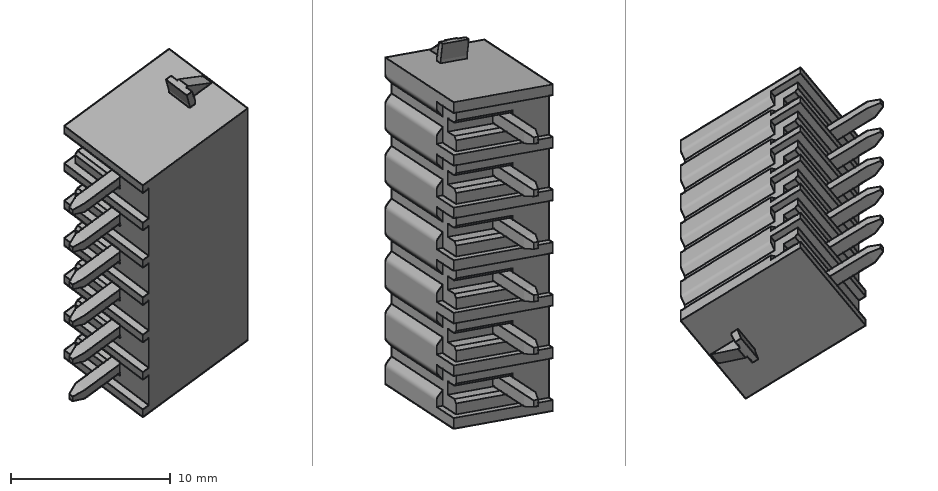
import cadquery as cq


way_count = 6
pitch = 3.5
overall_length = 24.5
overall_depth = 12.6
body_width = 7.0
body_depth = 9.2
latch_height = 1.37
body_length = overall_length - 2 * latch_height
way_centres = [(i - (way_count - 1) / 2) * pitch for i in range(way_count)]

recess_length = 2.8
recess_depth = 0.51
floor_y = -(body_depth - recess_depth)

groove_depth = 0.45
groove_floor_width = 0.69
groove_mouth_width = 1.67
groove_edge_radius = 0.45
notch_start = 6.9

pin_size = 0.8
pin_x_min = 3.63
pin_x_centre = pin_x_min + pin_size / 2
pin_tip_length = 0.8
pin_tip_width = 0.32
pin_tip_height = 0.45

slot_width = 0.88
slot_depth = 1.1
slot_length = pin_x_min + pin_size
slot_chamfer = 0.22

latch_width = 1.85
ramp_width = pin_size
ramp_start = 0.1
ramp_end = 2.2
ramp_drop = 0.02
plate_foot_back = 2.05
plate_foot_front = 2.57
plate_foot_height = 0.22
plate_top_back = 2.35
plate_top_crest = 2.5
plate_top_front = 2.82


def make_body():
    """Plain block with a rounded trapezoidal groove per way along one side."""
    body = cq.Workplane("XY").box(body_width, body_depth, body_length, centered=(False, False, True))
    body = body.translate((0, -body_depth, 0))
    half_mouth = groove_mouth_width / 2
    half_floor = groove_floor_width / 2
    for z in way_centres:
        groove = (
            cq.Workplane("XZ")
            .polyline([
                (0, z - half_mouth),
                (groove_depth, z - half_floor),
                (groove_depth, z + half_floor),
                (0, z + half_mouth),
            ])
            .close()
            .extrude(body_depth)
        )
        body = body.cut(groove)
    groove_lips = body.edges("|Y").edges("<X").edges("not(<Z or >Z)")
    return groove_lips.fillet(groove_edge_radius)


def make_way_cut(z):
    """Front recess, side notch and chamfered pin slot of one way."""
    recess = cq.Workplane("XY").box(body_width, recess_depth, recess_length, centered=(False, False, True))
    recess = recess.translate((0, -body_depth, z))

    notch_depth = body_depth - notch_start
    notch = cq.Workplane("XY").box(groove_depth, notch_depth, recess_length, centered=(False, False, True))
    notch = notch.translate((0, -body_depth, z))

    half_slot = slot_width / 2
    half_mouth = half_slot + slot_chamfer
    slot_floor_y = floor_y + slot_depth
    slot = (
        cq.Workplane("YZ")
        .polyline([
            (floor_y, z - half_mouth),
            (floor_y + slot_chamfer, z - half_slot),
            (slot_floor_y, z - half_slot),
            (slot_floor_y, z + half_slot),
            (floor_y + slot_chamfer, z + half_slot),
            (floor_y, z + half_mouth),
        ])
        .close()
        .extrude(slot_length)
    )
    return recess.union(notch).union(slot)


def make_pin(z):
    """Square pin from the slot floor to its tapered tip."""
    shank_start_y = floor_y + slot_depth
    shank_end_y = -(overall_depth - pin_tip_length)
    shank = (
        cq.Workplane("XZ", origin=(pin_x_centre, shank_start_y, z))
        .rect(pin_size, pin_size)
        .extrude(shank_start_y - shank_end_y)
    )
    tip = (
        cq.Workplane("XZ", origin=(pin_x_centre, shank_end_y, z))
        .rect(pin_size, pin_size)
        .workplane(offset=pin_tip_length)
        .rect(pin_tip_width, pin_tip_height)
        .loft(combine=True)
    )
    return shank.union(tip)


def make_latch():
    """Latch standing on the +Z end of the housing."""
    base_z = body_length / 2
    foot_z = base_z + plate_foot_height
    top_z = base_z + latch_height
    ramp_top_z = top_z - ramp_drop
    back_share = (plate_top_crest - plate_top_back) / (plate_top_crest - ramp_end)
    plate_back_z = top_z - ramp_drop * back_share

    plate_outline = [
        (-plate_foot_back, base_z),
        (-plate_foot_back, foot_z),
        (-plate_top_back, plate_back_z),
        (-plate_top_crest, top_z),
        (-plate_top_front, top_z),
        (-plate_foot_front, foot_z),
        (-plate_foot_front, base_z),
    ]
    ramp_outline = [
        (-ramp_start, base_z),
        (-ramp_end, ramp_top_z),
        (-plate_top_crest, top_z),
        (-plate_foot_front, foot_z),
        (-plate_foot_front, base_z),
    ]
    mid_plane = cq.Workplane("YZ", origin=(body_width / 2, 0, 0))
    plate = mid_plane.polyline(plate_outline).close().extrude(latch_width / 2, both=True)
    ramp = mid_plane.polyline(ramp_outline).close().extrude(ramp_width / 2, both=True)
    return plate.union(ramp)


result = make_body()
for way_z in way_centres:
    result = result.cut(make_way_cut(way_z))
    result = result.union(make_pin(way_z))

latch = make_latch()
result = result.union(latch).union(latch.mirror("XY"))